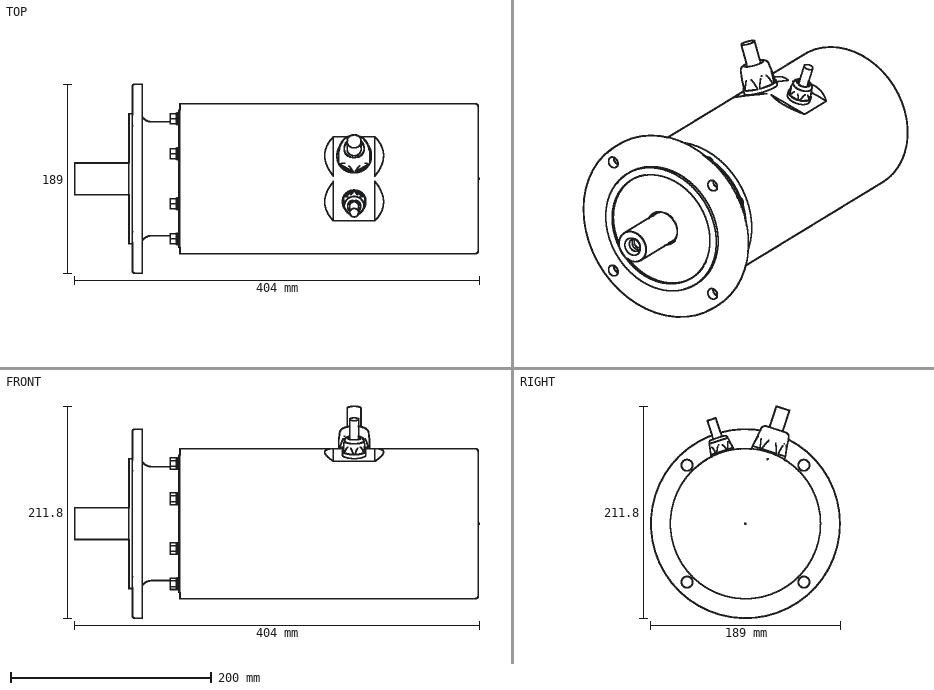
import math

import cadquery as cq


shaft_length = 57.5
shaft_diameter = 32
shaft_tip_chamfer = 0.25
centre_mouth_diameter = 18.1
centre_recess_diameter = 13
centre_recess_depth = 9.5
centre_drill_diameter = 10.58
centre_drill_depth = 30
centre_cone_half_angle = 30
drill_point_half_angle = 59
seal_gap_diameter = 35
seal_gap_depth = 3

flange_diameter = 189
flange_thickness = 10
flange_fillet = 2.5
spigot_diameter = 130
spigot_height = 3.5
spigot_recess_diameter = 115
spigot_recess_depth = 2.5
mount_hole_diameter = 11
mount_hole_circle = 165
mount_hole_count = 4
neck_diameter = 114
neck_fillet_radius = 12
neck_fillet_end = 19.5

barrel_start = 47.5
barrel_end = 345.5
barrel_diameter = 150
barrel_rear_fillet = 3
rear_pip_diameter = 1
rear_pip_height = 1
end_plate_diameter = 137
end_plate_thickness = 1.2

screw_count = 8
screw_circle = 130
screw_hex_width = 10
screw_hex_height = 6
washer_diameter = 11.8
washer_thickness = 1.25
spring_ring_diameter = 11
spring_ring_thickness = 1.25

gland_x = 221.5
gland_tilt = 18
flat_radius = 72.1
flat_length = 41.3
pocket_length = 58.8


def on_circle(count, diameter, first_angle):
    """Y-Z places spread evenly around the motor axis."""
    angles = [math.radians(first_angle + 360 / count * i) for i in range(count)]
    return [(diameter / 2 * math.cos(a), diameter / 2 * math.sin(a)) for a in angles]


def disc(start, end, diameter):
    """Cylinder on the motor axis between two X positions."""
    return cq.Workplane("YZ", origin=(start, 0, 0)).circle(diameter / 2).extrude(end - start)


def make_flange_and_neck():
    flange = disc(0, flange_thickness, flange_diameter).faces("<X").fillet(flange_fillet)
    spigot = disc(-spigot_height, 0, spigot_diameter)
    recess = disc(-spigot_height, spigot_recess_depth - spigot_height, spigot_recess_diameter)

    neck_radius = neck_diameter / 2
    arc_centre_radius = neck_radius + neck_fillet_radius
    flare_length = neck_fillet_end - flange_thickness
    flare_radius = arc_centre_radius - math.sqrt(neck_fillet_radius**2 - flare_length**2)
    half_angle = math.asin(flare_length / neck_fillet_radius) / 2
    arc_middle = (
        neck_fillet_end - neck_fillet_radius * math.sin(half_angle),
        arc_centre_radius - neck_fillet_radius * math.cos(half_angle),
    )
    neck = (
        cq.Workplane("XY")
        .moveTo(flange_thickness, 0)
        .lineTo(flange_thickness, flare_radius)
        .threePointArc(arc_middle, (neck_fillet_end, neck_radius))
        .lineTo(barrel_start, neck_radius)
        .lineTo(barrel_start, 0)
        .close()
        .revolve(360, (0, 0, 0), (1, 0, 0))
    )
    holes = (
        cq.Workplane("YZ")
        .pushPoints(on_circle(mount_hole_count, mount_hole_circle, 45))
        .circle(mount_hole_diameter / 2)
        .extrude(flange_thickness)
    )
    seal_gap_start = spigot_recess_depth - spigot_height
    seal_gap = disc(seal_gap_start, seal_gap_start + seal_gap_depth, seal_gap_diameter)
    return flange.union(spigot).union(neck).cut(recess).cut(holes).cut(seal_gap)


def make_shaft():
    shaft = disc(-shaft_length, flange_thickness, shaft_diameter)
    shaft = shaft.faces("<X").chamfer(shaft_tip_chamfer)
    mouth_radius = centre_mouth_diameter / 2
    recess_radius = centre_recess_diameter / 2
    drill_radius = centre_drill_diameter / 2
    cone_slope = math.tan(math.radians(centre_cone_half_angle))
    cone_end = -shaft_length + (mouth_radius - recess_radius) / cone_slope
    recess_end = -shaft_length + centre_recess_depth
    drill_start = recess_end + (recess_radius - drill_radius) / cone_slope
    drill_end = -shaft_length + centre_drill_depth
    drill_tip = drill_end + drill_radius / math.tan(math.radians(drill_point_half_angle))
    centre_hole = (
        cq.Workplane("XY")
        .moveTo(-shaft_length, 0)
        .lineTo(-shaft_length, mouth_radius)
        .lineTo(cone_end, recess_radius)
        .lineTo(recess_end, recess_radius)
        .lineTo(drill_start, drill_radius)
        .lineTo(drill_end, drill_radius)
        .lineTo(drill_tip, 0)
        .close()
        .revolve(360, (0, 0, 0), (1, 0, 0))
    )
    return shaft.cut(centre_hole)


def tilted(body, tilt):
    """Turn a body that stands on Z = 0 about the motor axis and set it on its flat."""
    placed = body.translate((gland_x, 0, flat_radius))
    return placed.rotate((0, 0, 0), (1, 0, 0), tilt)


def make_gland_pocket():
    """Flat-bottomed cut with ends that slope up to the barrel surface."""
    rise = barrel_diameter / 2 - flat_radius
    slope = (pocket_length - flat_length) / 2 / rise
    cut_height = 2 * rise
    half_width = barrel_diameter / 4
    top_length = flat_length + 2 * slope * cut_height
    return (
        cq.Workplane("XZ")
        .moveTo(-flat_length / 2, 0)
        .lineTo(flat_length / 2, 0)
        .lineTo(top_length / 2, cut_height)
        .lineTo(-top_length / 2, cut_height)
        .close()
        .extrude(half_width, both=True)
    )


def make_barrel():
    barrel = disc(barrel_start, barrel_end, barrel_diameter).faces(">X").edges().fillet(barrel_rear_fillet)
    plate = disc(barrel_start - end_plate_thickness, barrel_start, end_plate_diameter)
    for tilt in (-gland_tilt, gland_tilt):
        barrel = barrel.cut(tilted(make_gland_pocket(), tilt))
    pip = disc(barrel_end, barrel_end + rear_pip_height, rear_pip_diameter)
    return barrel.union(plate).union(pip)


def make_screws():
    places = on_circle(screw_count, screw_circle, 360 / screw_count / 2)
    washer_face = barrel_start - end_plate_thickness
    spring_ring_face = washer_face - washer_thickness
    head_face = spring_ring_face - spring_ring_thickness
    washers = (
        cq.Workplane("YZ", origin=(washer_face, 0, 0))
        .pushPoints(places)
        .circle(washer_diameter / 2)
        .extrude(-washer_thickness)
    )
    spring_rings = (
        cq.Workplane("YZ", origin=(spring_ring_face, 0, 0))
        .pushPoints(places)
        .circle(spring_ring_diameter / 2)
        .extrude(-spring_ring_thickness)
    )
    heads = (
        cq.Workplane("YZ", origin=(head_face, 0, 0))
        .pushPoints(places)
        .polygon(6, screw_hex_width, circumscribed=True)
        .extrude(-screw_hex_height)
    )
    return washers.union(spring_rings).union(heads)


def make_gland(
    rim_diameter,
    rim_height,
    hex_width,
    cone_height,
    top_diameter,
    height,
    bore_diameter,
    bore_depth,
    cable_diameter,
    cable_end,
):
    """Cable gland with its cable, standing on Z = 0: round rim, cone with six flats, domed top."""
    rim_radius = rim_diameter / 2
    top_radius = top_diameter / 2
    bore_radius = bore_diameter / 2
    dome_radius = top_radius - bore_radius
    dome_reach = dome_radius * math.sqrt(0.5)
    dome_middle = (bore_radius + dome_reach, height - dome_radius + dome_reach)
    body = (
        cq.Workplane("XZ")
        .moveTo(0, 0)
        .lineTo(rim_radius, 0)
        .lineTo(rim_radius, rim_height)
        .lineTo(top_radius, cone_height)
        .lineTo(top_radius, height - dome_radius)
        .threePointArc(dome_middle, (bore_radius, height))
        .lineTo(bore_radius, height - bore_depth)
        .lineTo(0, height - bore_depth)
        .close()
        .revolve(360, (0, 0, 0), (0, 1, 0))
    )
    hexagon = (
        cq.Workplane("XY", origin=(0, 0, rim_height))
        .polygon(6, hex_width, circumscribed=True)
        .extrude(height)
    )
    rim = cq.Workplane("XY").circle(rim_radius).extrude(rim_height)
    cable = cq.Workplane("XY").circle(cable_diameter / 2).extrude(cable_end)
    return body.intersect(hexagon.union(rim)).union(cable)


motor = make_flange_and_neck().union(make_shaft()).union(make_barrel()).union(make_screws())

power_gland = tilted(
    make_gland(
        rim_diameter=34.5,
        rim_height=4,
        hex_width=30.8,
        cone_height=21.5,
        top_diameter=29.4,
        height=27,
        bore_diameter=20,
        bore_depth=3,
        cable_diameter=14,
        cable_end=49,
    ),
    -gland_tilt,
)
signal_gland = tilted(
    make_gland(
        rim_diameter=23.4,
        rim_height=4,
        hex_width=20.8,
        cone_height=15,
        top_diameter=19.5,
        height=18,
        bore_diameter=13,
        bore_depth=2,
        cable_diameter=9,
        cable_end=37.5,
    ),
    gland_tilt,
)

result = cq.Compound.makeCompound([motor.val(), power_gland.val(), signal_gland.val()])